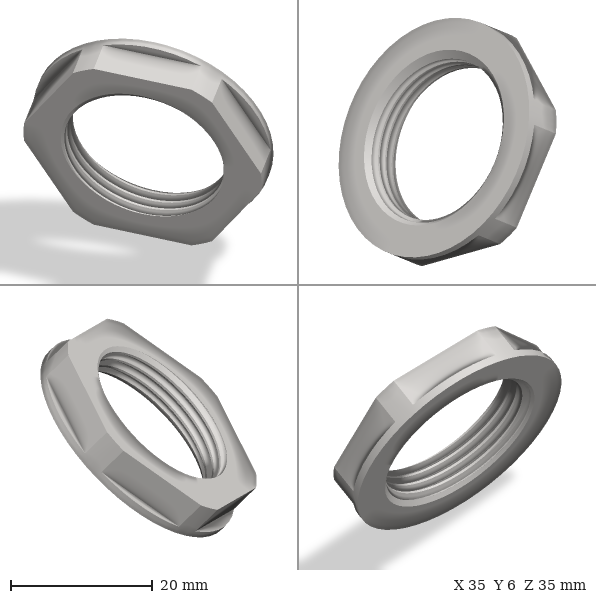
import cadquery as cq
import math

outer_diameter = 35.0
nut_thickness = 6.0
flange_thickness = 1.2
across_flats = 31.92

thread_pitch = 1.5
major_radius = 12.5
minor_radius = 11.65
root_width = thread_pitch / 8
flank_angle = math.radians(30)
bore_overlap = 0.1
entry_chamfer = flange_thickness


def make_flanged_blank():
    """Hexagon with corners rounded to the flange diameter, built along Z."""
    disc = cq.Workplane("XY").circle(outer_diameter / 2).extrude(nut_thickness)
    flange = cq.Workplane("XY").circle(outer_diameter / 2).extrude(flange_thickness)
    corner_diameter = across_flats / math.cos(math.pi / 6)
    hexagon = cq.Workplane("XY").polygon(6, corner_diameter).extrude(nut_thickness)
    return disc.intersect(hexagon).union(flange)


def make_thread_cutter():
    """Right-hand helical groove that runs out past both faces."""
    turns_below_end_face = math.ceil(nut_thickness / thread_pitch) + 1
    start_z = nut_thickness - (turns_below_end_face + 0.25) * thread_pitch
    helix_height = (turns_below_end_face + 2) * thread_pitch
    inner_radius = minor_radius - bore_overlap
    root_half = root_width / 2
    mouth_half = root_half + (major_radius - inner_radius) * math.tan(flank_angle)

    helix = cq.Wire.makeHelix(thread_pitch, helix_height, minor_radius)
    groove = (
        cq.Workplane("XZ")
        .moveTo(inner_radius, -mouth_half)
        .lineTo(major_radius, -root_half)
        .lineTo(major_radius, root_half)
        .lineTo(inner_radius, mouth_half)
        .close()
        .sweep(cq.Workplane(obj=helix), isFrenet=True)
    )
    return groove.translate((0, 0, start_z))


def make_entry_chamfer_cutter():
    """45 degree cone that opens the bore at the flange face."""
    return (
        cq.Workplane("XZ")
        .lineTo(minor_radius + entry_chamfer, 0)
        .lineTo(minor_radius, entry_chamfer)
        .lineTo(0, entry_chamfer)
        .close()
        .revolve(360, (0, 0, 0), (0, 1, 0))
    )


bore = cq.Workplane("XY").circle(minor_radius).extrude(nut_thickness)
nut = make_flanged_blank().cut(bore).cut(make_thread_cutter()).cut(make_entry_chamfer_cutter())

result = nut.rotate((0, 0, 0), (1, 0, 0), 90)